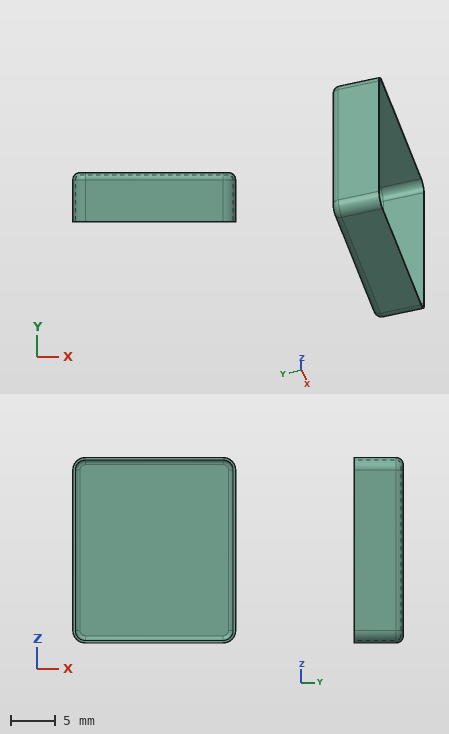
import cadquery as cq

width = 18.2
depth = 5.5
height = 20.7

wall = 0.3
corner_radius = 1.4
floor_edge_radius = 0.8


def rounded_block(inset):
    """Block with rounded corners and floor edge, its sides and floor set in by inset."""
    block_depth = depth - inset
    return (
        cq.Workplane("XY")
        .box(width - 2 * inset, block_depth, height - 2 * inset)
        .translate((0, (depth - block_depth) / -2, 0))
        .edges("|Y")
        .fillet(corner_radius - inset)
        .faces(">Y")
        .edges()
        .fillet(floor_edge_radius - inset)
    )


result = rounded_block(0).cut(rounded_block(wall))